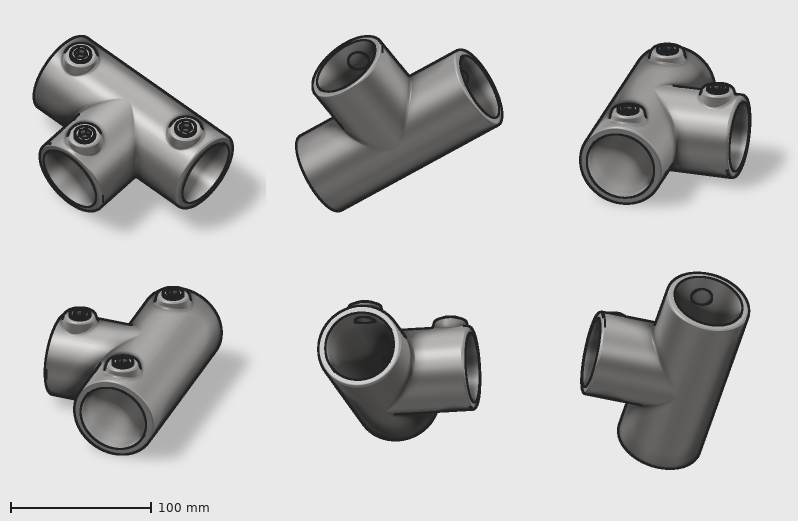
import cadquery as cq
import math

run_length = 138.0
run_radius = 30.5
branch_reach = 68.0
branch_radius = 30.0
bore_radius = 25.0
rim_round = 2.0
junction_round = 2.0

run_boss_x = 50.0
branch_boss_y = -52.0
run_boss_centres = [(-run_boss_x, 0.0), (run_boss_x, 0.0)]
branch_boss_centre = (0.0, branch_boss_y)
boss_centres = [*run_boss_centres, branch_boss_centre]
boss_top_z = 35.5
boss_top_radius = 11.4
boss_taper_angle = 15.0
boss_top_round = 2.0
boss_base_round = 2.0
boss_root_z = 22.0

screw_radius = 7.5
screw_top_z = 37.06
screw_tip_z = bore_radius
screw_edge_chamfer = 0.8
socket_across_flats = 8.0
socket_depth = 6.0
run_socket_angle = 90.0
branch_socket_angle = 0.0
socket_across_corners = socket_across_flats / math.cos(math.radians(30))


def run_cylinder(radius):
    return cq.Workplane("YZ").circle(radius).extrude(run_length / 2, both=True)


def branch_cylinder(radius):
    return cq.Workplane("XZ").circle(radius).extrude(branch_reach)


def boss_cone(centre):
    """Boss that widens downwards from its top face to inside the tube wall."""
    return (
        cq.Workplane("XY", origin=(*centre, boss_top_z))
        .circle(boss_top_radius)
        .extrude(boss_root_z - boss_top_z, taper=-boss_taper_angle)
        .faces(">Z")
        .edges()
        .fillet(boss_top_round)
    )


def boss_base_edges(tee, centre):
    """The curved edges where one boss meets the tube below it."""
    x, y = centre
    reach = 2 * boss_top_radius
    box = cq.selectors.BoxSelector(
        (x - reach, y - reach, boss_root_z),
        (x + reach, y + reach, run_radius),
    )
    return [edge for edge in tee.edges(box).vals() if edge.geomType() == "BSPLINE"]


def make_tee():
    tee = run_cylinder(run_radius).union(branch_cylinder(branch_radius))
    tee = tee.edges("%BSPLINE").fillet(junction_round)

    for centre in boss_centres:
        tee = tee.union(boss_cone(centre))
        tee = tee.newObject(boss_base_edges(tee, centre)).fillet(boss_base_round)

    tee = tee.faces("<X or >X or <Y").edges().fillet(rim_round)

    run_bore = run_cylinder(bore_radius)
    branch_bore = branch_cylinder(bore_radius).cut(run_cylinder(run_radius))
    tee = tee.cut(run_bore).cut(branch_bore)

    holes = cq.Workplane("XY").pushPoints(boss_centres).circle(screw_radius).extrude(screw_top_z)
    return tee.cut(holes)


def make_screw(centre, corner_angle):
    """Plain grub screw with a chamfered top edge and a hexagon socket.

    The whole screw is turned so that two socket corners lie at corner_angle from X.
    """
    screw = (
        cq.Workplane("XY")
        .circle(screw_radius)
        .extrude(screw_top_z - screw_tip_z)
        .faces(">Z")
        .chamfer(screw_edge_chamfer)
        .faces(">Z")
        .workplane()
        .polygon(6, socket_across_corners)
        .cutBlind(-socket_depth)
    )
    return screw.rotate((0, 0, 0), (0, 0, 1), corner_angle).translate((*centre, screw_tip_z))


tee = make_tee()
screws = [make_screw(centre, run_socket_angle) for centre in run_boss_centres]
screws.append(make_screw(branch_boss_centre, branch_socket_angle))

result = cq.Compound.makeCompound([tee.val(), *[screw.val() for screw in screws]])